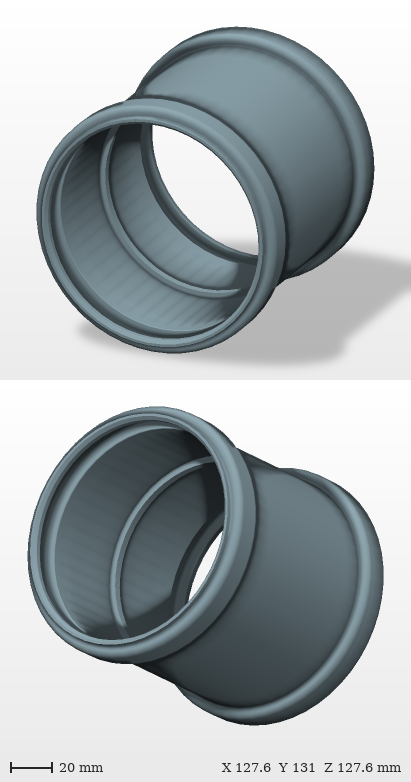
import cadquery as cq
import math

length = 131.0
body_diameter = 116.9
bore_diameter = 111.0

lip_diameter = 117.1
lip_width = 1.3

bead_diameter = 127.6
bead_inset = 3.4
bead_width = 15.2
bead_round = 2.9
foot_round = 1.0

groove_diameter = 121.8
groove_inset = 4.6
groove_width = 11.5
groove_round = 1.3
groove_edge_round = 0.5

mouth_diameter = 111.4
lead_in_diameter = 114.5
lead_in_blend = 0.7

stop_diameter = 104.4
stop_width = 3.9


def cylinder(diameter, inset, width):
    """Cylinder along Y, starting at a distance inset from the -Y end."""
    plane = cq.Plane(origin=(0, inset - length / 2, 0), xDir=(1, 0, 0), normal=(0, 1, 0))
    return cq.Workplane(plane).circle(diameter / 2).extrude(width)


def at_both_ends(shape):
    """Join a shape with its mirror image about the middle of the sleeve."""
    return shape.union(shape.mirror("XZ"))


def bead():
    """Ring with a rounded crest and a concave fillet on each side of its foot."""
    root_radius = bore_diameter / 2
    body_radius = body_diameter / 2
    crest_radius = bead_diameter / 2
    outer_face = bead_inset - length / 2
    inner_face = outer_face + bead_width
    return (
        cq.Workplane("XY")
        .moveTo(root_radius, outer_face - foot_round)
        .lineTo(body_radius, outer_face - foot_round)
        .radiusArc((body_radius + foot_round, outer_face), foot_round)
        .lineTo(crest_radius - bead_round, outer_face)
        .radiusArc((crest_radius, outer_face + bead_round), -bead_round)
        .lineTo(crest_radius, inner_face - bead_round)
        .radiusArc((crest_radius - bead_round, inner_face), -bead_round)
        .lineTo(body_radius + foot_round, inner_face)
        .radiusArc((body_radius, inner_face + foot_round), foot_round)
        .lineTo(root_radius, inner_face + foot_round)
        .close()
        .revolve(360, (0, 0, 0), (0, 1, 0))
    )


def cavity():
    """Lead-in, mouth bore and rounded seal groove at the -Y end."""
    end = -length / 2
    mouth_radius = mouth_diameter / 2
    bore_radius = bore_diameter / 2
    groove_radius = groove_diameter / 2
    lead_in_radius = lead_in_diameter / 2
    groove_start = end + groove_inset
    groove_end = groove_start + groove_width

    cone_end_radius = mouth_radius + lead_in_blend * (1 - math.cos(math.pi / 4))
    cone_end = end + lead_in_radius - cone_end_radius
    blend_end = cone_end + lead_in_blend * math.sin(math.pi / 4)
    return (
        cq.Workplane("XY")
        .moveTo(0, end)
        .lineTo(lead_in_radius, end)
        .lineTo(cone_end_radius, cone_end)
        .radiusArc((mouth_radius, blend_end), lead_in_blend)
        .lineTo(mouth_radius, groove_start - groove_edge_round)
        .radiusArc((mouth_radius + groove_edge_round, groove_start), groove_edge_round)
        .lineTo(groove_radius - groove_round, groove_start)
        .radiusArc((groove_radius, groove_start + groove_round), -groove_round)
        .lineTo(groove_radius, groove_end - groove_round)
        .radiusArc((groove_radius - groove_round, groove_end), -groove_round)
        .lineTo(bore_radius + groove_edge_round, groove_end)
        .radiusArc((bore_radius, groove_end + groove_edge_round), groove_edge_round)
        .lineTo(0, groove_end + groove_edge_round)
        .close()
        .revolve(360, (0, 0, 0), (0, 1, 0))
    )


body = cylinder(body_diameter, 0, length)
lip = cylinder(lip_diameter, 0, lip_width)
bore = cylinder(bore_diameter, 0, length)
stop_inset = (length - stop_width) / 2
stop = cylinder(body_diameter, stop_inset, stop_width).cut(cylinder(stop_diameter, 0, length))

outside = body.union(at_both_ends(lip)).union(at_both_ends(bead()))
result = outside.cut(bore).cut(at_both_ends(cavity())).union(stop)